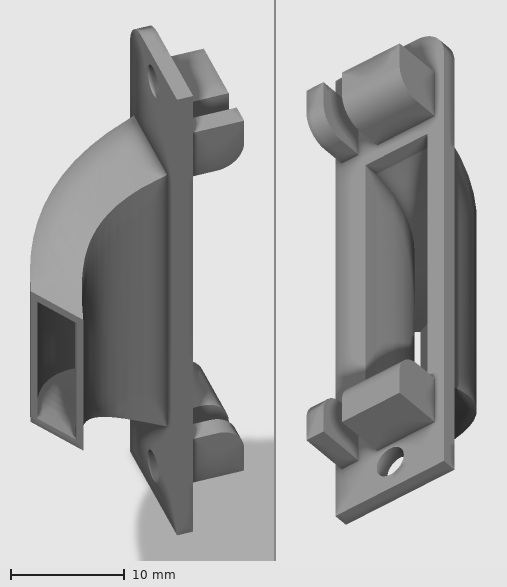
import cadquery as cq
import math

plate_width = 12.1
plate_thickness = 1.5
plate_height = 50.3
corner_radius = 3.0

hole_diameter = 3.0
hole_x = 6.0
bottom_hole_z = 3.05
top_hole_z = plate_height - 2.75

tab_depth = 5.05
tab_height = 5.05
bottom_tab_z = 5.05
top_tab_z = 40.4
tab_radius = 2.5
wide_tab_x = 1.0
wide_tab_width = 6.45
narrow_tab_x = 9.5
narrow_tab_width = 1.9

duct_wall = 0.8
section_count = 7
mouth_tip_x = 19.25
mouth_width = 6.05
mouth_angle = math.radians(30)
mouth_front_y = -14.4
mouth_left_x = mouth_tip_x - mouth_width * math.cos(mouth_angle)
mouth_back_y = mouth_front_y + mouth_width * math.sin(mouth_angle)

outer_side = [(1.0, 0), (1.75, -8.05), (6.35, -12.15), (mouth_left_x, mouth_front_y)]
inner_side = [(9.55, 0), (8.95, -7.3), (11.8, -9.25), (mouth_tip_x, mouth_back_y)]
top_heights = [39.6, 36.95, 35.1, 33.9]
bottom_heights = [10.5, 14.1, 16.6, 18.8]


def bezier(controls, t):
    """Value of a cubic Bezier with four scalar controls."""
    a, b, c, d = controls
    s = 1 - t
    return a * s**3 + 3 * b * s**2 * t + 3 * c * s * t**2 + d * t**3


def curve_point(controls, t):
    """Point in the XY plane on a cubic Bezier curve."""
    xs, ys = zip(*controls)
    return cq.Vector(bezier(xs, t), bezier(ys, t), 0)


def duct_section(t, inset):
    """Upright rectangle across the duct, drawn in on all sides by inset."""
    outer = curve_point(outer_side, t)
    inner = curve_point(inner_side, t)
    inward = (inner - outer).normalized() * inset
    outer = outer + inward
    inner = inner - inward
    low = cq.Vector(0, 0, bezier(bottom_heights, t) + inset)
    high = cq.Vector(0, 0, bezier(top_heights, t) - inset)
    corners = [outer + low, inner + low, inner + high, outer + high]
    return cq.Wire.makePolygon(corners, close=True)


def duct_body(inset):
    """Smooth solid through the duct sections."""
    sections = [duct_section(i / (section_count - 1), inset) for i in range(section_count)]
    return cq.Workplane(obj=cq.Solid.makeLoft(sections))


def make_plate():
    plate = cq.Workplane().box(plate_width, plate_thickness, plate_height, centered=False)
    plate = plate.edges("|Y and <X and >Z").fillet(corner_radius)
    for z in (bottom_hole_z, top_hole_z):
        hole = cq.Workplane("XZ", origin=(hole_x, 0, z)).circle(hole_diameter / 2)
        plate = plate.cut(hole.extrude(-plate_thickness))
    return plate


def make_tab(x, width, z, rounded_edge):
    """Tab behind the plate, with its back edge facing mid-height rounded."""
    tab = cq.Workplane().box(width, tab_depth, tab_height, centered=False)
    tab = tab.edges(f"|X and >Y and {rounded_edge}").fillet(tab_radius)
    return tab.translate((x, plate_thickness, z))


def plate_opening():
    """Rectangular opening that continues the duct passage through the plate."""
    face = cq.Face.makeFromWires(duct_section(0, duct_wall))
    return cq.Workplane(obj=cq.Solid.extrudeLinear(face, cq.Vector(0, plate_thickness, 0)))


result = make_plate().union(duct_body(0))
result = result.cut(duct_body(duct_wall)).cut(plate_opening())
for x, width in ((wide_tab_x, wide_tab_width), (narrow_tab_x, narrow_tab_width)):
    result = result.union(make_tab(x, width, bottom_tab_z, ">Z"))
    result = result.union(make_tab(x, width, top_tab_z, "<Z"))